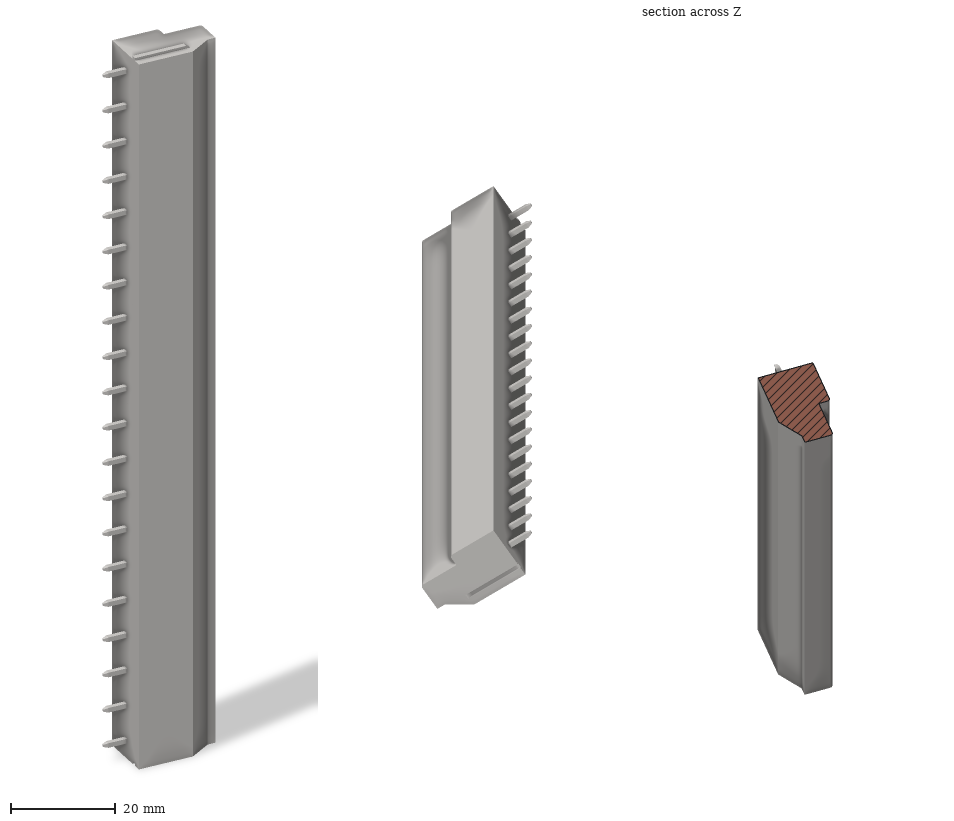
import cadquery as cq

pole_count = 20
total_length = 153.0
rib_height = 0.6
body_length = total_length - rib_height
pitch = body_length / pole_count

width = 11.2
total_depth = 23.0
depth = 18.0
step_width = 2.3
step_depth = 10.0
shoulder_x = 8.1
shoulder_drop = 1.7
slope_end_depth = 11.6
edge_radius = 0.6

pin_side = 1.0
pin_offset_x = 0.2
pin_x = width / 2 + pin_offset_x
pin_length = total_depth - depth
pin_tip_length = 0.9
pin_tip_side = 0.5

rib_crest_width = 1.0
rib_root_width = 0.9
rib_x = 9.0
rib_length = 12.0
rib_end_ramp = 0.9


def make_body():
    """Extrude the stepped profile with its rounded outer corners."""
    return (
        cq.Workplane("XY")
        .moveTo(0, 0)
        .lineTo(width, 0)
        .lineTo(width, slope_end_depth)
        .lineTo(shoulder_x, depth - shoulder_drop)
        .lineTo(shoulder_x, depth)
        .lineTo(step_width + edge_radius, depth)
        .radiusArc((step_width, depth - edge_radius), -edge_radius)
        .lineTo(step_width, step_depth)
        .lineTo(edge_radius, step_depth)
        .radiusArc((0, step_depth - edge_radius), -edge_radius)
        .close()
        .extrude(body_length)
    )


def make_rib(base_z):
    """Dovetail bar along Y, wider at its crest, with a ramped far end."""
    bar = (
        cq.Workplane("XZ", origin=(rib_x, 0, base_z))
        .moveTo(-rib_root_width / 2, 0)
        .lineTo(rib_root_width / 2, 0)
        .lineTo(rib_crest_width / 2, rib_height)
        .lineTo(-rib_crest_width / 2, rib_height)
        .close()
        .extrude(-rib_length)
    )
    ramp_envelope = (
        cq.Workplane("YZ", origin=(rib_x - rib_crest_width / 2, 0, base_z))
        .moveTo(0, 0)
        .lineTo(rib_length, 0)
        .lineTo(rib_length - rib_end_ramp, rib_height)
        .lineTo(0, rib_height)
        .close()
        .extrude(rib_crest_width)
    )
    return bar.intersect(ramp_envelope)


def make_pin(center_z):
    """Square pin pointing to -Y with a tapered tip."""
    shank_length = pin_length - pin_tip_length
    shank = (
        cq.Workplane("XZ", origin=(pin_x, 0, center_z))
        .rect(pin_side, pin_side)
        .extrude(shank_length)
    )
    tip = (
        cq.Workplane("XZ", origin=(pin_x, -shank_length, center_z))
        .rect(pin_side, pin_side)
        .workplane(offset=pin_tip_length)
        .rect(pin_tip_side, pin_tip_side)
        .loft(combine=True)
    )
    return shank.union(tip)


result = make_body().cut(make_rib(0)).union(make_rib(body_length))
for pole in range(pole_count):
    result = result.union(make_pin((pole + 0.5) * pitch))